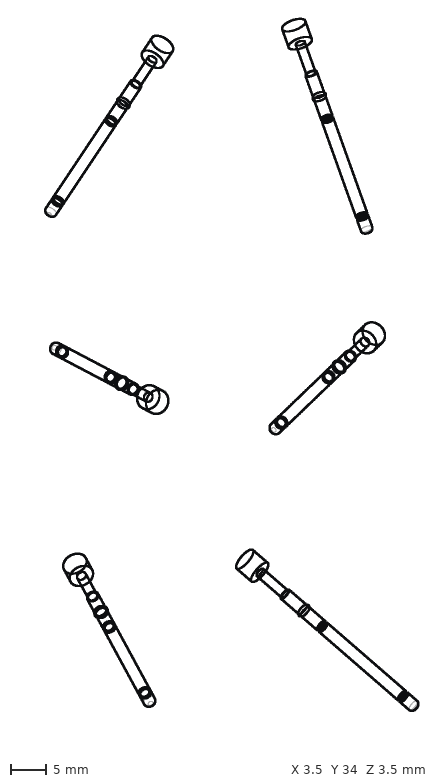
import cadquery as cq

total_length = 34.0
head_diameter = 3.5
head_length = 3.0
plunger_diameter = 1.35
barrel_diameter = 1.75
tip_radius = 0.5

barrel_start = 8.0
ring_center = 11.75
groove_centers = (15.4, 31.45)

ring_diameter = 2.0
ring_width = 0.5
groove_width = 0.4
groove_depth = 0.2

axis_direction = cq.Vector(0, -1, 0)


def cylinder(start, end, diameter):
    """Cylinder between two distances from the head's outer face."""
    base = axis_direction * start
    return cq.Workplane(cq.Solid.makeCylinder(diameter / 2, end - start, base, axis_direction))


def revolve_profile(profile):
    """Turn an XY profile about the probe axis."""
    return profile.close().revolve(360, (0, 0, 0), (0, 1, 0))


def bulged_ring(center):
    """Press ring with a rounded crown, standing proud of the barrel."""
    near_side = -center + ring_width / 2
    far_side = -center - ring_width / 2
    return revolve_profile(
        cq.Workplane("XY")
        .moveTo(0, near_side)
        .lineTo(barrel_diameter / 2, near_side)
        .threePointArc((ring_diameter / 2, -center), (barrel_diameter / 2, far_side))
        .lineTo(0, far_side)
    )


def groove_cutter(center):
    """Triangular ring that cuts a V-groove into the barrel."""
    outer = barrel_diameter / 2
    bottom = outer - groove_depth
    half_width = groove_width / 2
    return revolve_profile(
        cq.Workplane("XY")
        .moveTo(outer, -center + half_width)
        .lineTo(bottom, -center)
        .lineTo(outer, -center - half_width)
    )


barrel = cylinder(barrel_start, total_length, barrel_diameter)
barrel = barrel.faces("<Y").edges().fillet(tip_radius)
barrel = barrel.union(bulged_ring(ring_center))
for groove_center in groove_centers:
    barrel = barrel.cut(groove_cutter(groove_center))

plunger = cylinder(head_length, barrel_start, plunger_diameter)
head = cylinder(0, head_length, head_diameter)

result = barrel.union(plunger).union(head)